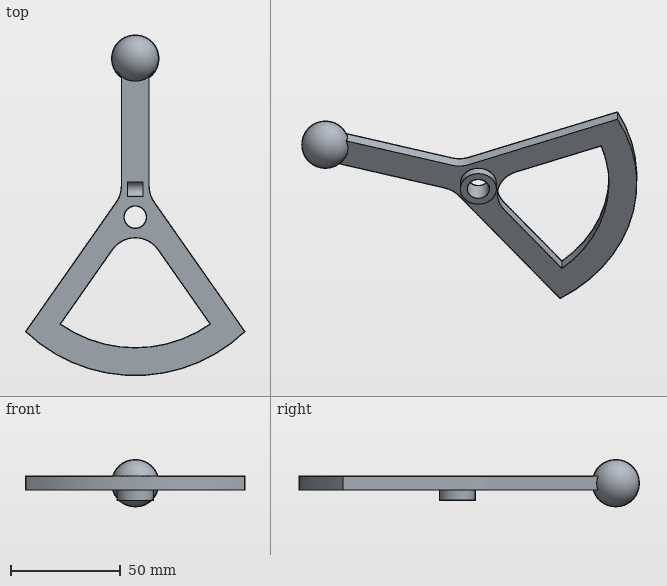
import cadquery as cq
import math

total_length = 155.3
ball_diameter = 21.6
reach = (total_length - ball_diameter / 2) / 2
bar_width = 12.7
thickness = bar_width / 2
half_angle = 35.0
spoke_width = 11.0
corner_radius = 12.7

pivot_hole_diameter = 10.1
boss_diameter = 16.5
boss_height = 4.7

groove_y = 12.7
groove_length = 7.0
groove_diameter = 6.5
groove_axis_depth = 0.5

slope = math.radians(half_angle)
half_bar = bar_width / 2
window_radius = reach - bar_width
outer_corner_angle = slope + math.asin(spoke_width / reach)
outer_corner_x = reach * math.sin(outer_corner_angle)
outer_corner_y = -reach * math.cos(outer_corner_angle)
handle_root_y = (spoke_width - half_bar * math.cos(slope)) / math.sin(slope)
window_corner_x = window_radius * math.sin(slope)
window_corner_y = -window_radius * math.cos(slope)


def make_plate():
    """Handle and sector body, with rounded corners where they meet."""
    plate = (
        cq.Workplane("XY", origin=(0, 0, -thickness / 2))
        .moveTo(-half_bar, reach)
        .lineTo(-half_bar, handle_root_y)
        .lineTo(-outer_corner_x, outer_corner_y)
        .threePointArc((0, -reach), (outer_corner_x, outer_corner_y))
        .lineTo(half_bar, handle_root_y)
        .lineTo(half_bar, reach)
        .close()
        .extrude(thickness)
    )
    root_points = [(side * half_bar, handle_root_y, 0) for side in (-1, 1)]
    for point in root_points:
        root_edge = cq.selectors.NearestToPointSelector(point)
        plate = plate.edges("|Z").edges(root_edge).fillet(corner_radius)
    return plate


def make_window():
    """Sector-shaped opening with radial sides and a rounded apex."""
    return (
        cq.Workplane("XY", origin=(0, 0, -thickness / 2))
        .lineTo(-window_corner_x, window_corner_y)
        .threePointArc((0, -window_radius), (window_corner_x, window_corner_y))
        .close()
        .extrude(thickness)
        .edges("|Z and >Y")
        .fillet(corner_radius)
    )


def make_boss():
    """Round boss under the plate, around the pivot."""
    return (
        cq.Workplane("XY", origin=(0, 0, -thickness / 2 - boss_height))
        .circle(boss_diameter / 2)
        .extrude(boss_height)
    )


def make_pivot_hole():
    """Hole through the plate and the boss."""
    return (
        cq.Workplane("XY", origin=(0, 0, -thickness / 2 - boss_height))
        .circle(pivot_hole_diameter / 2)
        .extrude(boss_height + thickness)
    )


def make_groove():
    """Round-bottomed pocket in the top face, with its axis along X."""
    return (
        cq.Workplane("YZ", origin=(-groove_length / 2, groove_y, thickness / 2 - groove_axis_depth))
        .circle(groove_diameter / 2)
        .extrude(groove_length)
    )


def make_ball():
    """Ball knob at the end of the handle."""
    return cq.Workplane("XY", origin=(0, reach, 0)).sphere(ball_diameter / 2)


result = (
    make_plate()
    .cut(make_window())
    .union(make_boss())
    .cut(make_pivot_hole())
    .cut(make_groove())
    .union(make_ball())
)